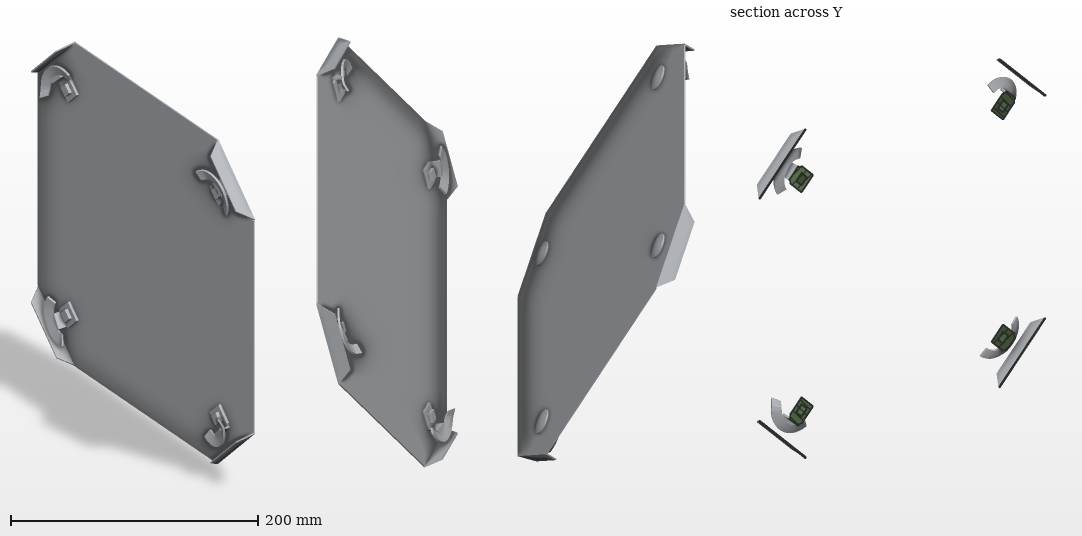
import cadquery as cq
import math

overall_width = 301.33
plate_size = 300.0
panel_thickness = 1.2
flange_length = 72.8
flange_depth = 13.2
flange_taper = math.radians(41)

overall_depth = 21.36
head_height = 3.1
head_rim = 1.5
head_radius = 10.4
neck_side = 8.4
neck_standout = 3.0
bolt_offset = 104.6

clip_thickness = 1.8
base_side = 17.2
base_thickness = 2.4
leg_face = 9.9
leg_width = 13.6
wing_inner_radius = 13.8
wing_outer_radius = 21.9
dish_angle = math.radians(20)
wing_start = -72.5
wing_end = 52.0
bend_end = 61.0
lip_end = 77.0
wing_climb = 2.05
bend_climb = 4.5
lip_climb = 9.5

plate_back = overall_depth / 2 - head_height
plate_front = plate_back - panel_thickness
corner_reach = overall_width / 2 * math.sqrt(2) - flange_length / 2
corner_cut = plate_size - (corner_reach - panel_thickness) * math.sqrt(2)
corner_turns = [90 * i for i in range(4)]

dish_rise = (wing_outer_radius - wing_inner_radius) * math.tan(dish_angle)
tip_height = overall_depth - head_height - panel_thickness
bend_rise = bend_climb * math.radians(bend_end - wing_end)
lip_rise = lip_climb * math.radians(lip_end - bend_end)
bridge_height = tip_height - dish_rise - lip_rise - bend_rise - wing_climb * math.radians(wing_end)


def to_corner(shape, turn):
    """Move a shape from its own axes (x outward, z forward, origin on the panel front) to a corner."""
    origin = (-bolt_offset, plate_front, bolt_offset)
    plane = cq.Plane(origin=origin, xDir=(-1, 0, 1), normal=(0, -1, 0))
    return shape.val().moved(cq.Location(plane)).rotate((0, 0, 0), (0, 1, 0), turn)


def make_neck(height):
    """Square bar along the bolt axis, from the back of the panel up to the given height."""
    bar = cq.Workplane("XY").workplane(offset=-panel_thickness).rect(neck_side, neck_side)
    return bar.extrude(panel_thickness + height)


def make_bolt():
    """Carriage bolt: round rim and dome behind the panel, square neck standing out in front."""
    rim = -panel_thickness - head_rim
    top = -panel_thickness - head_height
    dome_radius = (head_radius**2 + (rim - top) ** 2) / (2 * (rim - top))
    half_angle = math.asin(head_radius / dome_radius) / 2
    midway = (
        dome_radius * math.sin(half_angle),
        top + dome_radius * (1 - math.cos(half_angle)),
    )
    head = (
        cq.Workplane("XZ")
        .moveTo(0, -panel_thickness)
        .lineTo(head_radius, -panel_thickness)
        .lineTo(head_radius, rim)
        .threePointArc(midway, (0, top))
        .close()
        .revolve(360, (0, 0, 0), (0, 1, 0))
    )
    return head.union(make_neck(base_thickness + neck_standout))


def helical_sector(start, end, climb):
    """Part of the dished wing between two angles; its height is zero at the start."""
    turn = math.radians(end - start)
    path = cq.Wire.makeHelix(2 * math.pi * climb, climb * turn, wing_inner_radius)
    drop = clip_thickness * math.cos(dish_angle)
    shift = clip_thickness * math.sin(dish_angle)
    section = cq.Workplane("XZ").polyline([
        (wing_inner_radius, 0),
        (wing_outer_radius, dish_rise),
        (wing_outer_radius + shift, dish_rise - drop),
        (wing_inner_radius + shift, -drop),
    ]).close()
    sector = section.sweep(cq.Workplane(path), isFrenet=True)
    return sector.rotate((0, 0, 0), (0, 0, 1), start)


def make_wing():
    """Gentle helical wing, then a steeper bend and a lip; all three share one section."""
    wing_base = bridge_height + wing_climb * math.radians(wing_start)
    bend_base = bridge_height + wing_climb * math.radians(wing_end)
    lip_base = bend_base + bend_rise
    wing = helical_sector(wing_start, wing_end, wing_climb).translate((0, 0, wing_base))
    bend = helical_sector(wing_end, bend_end, bend_climb).translate((0, 0, bend_base))
    lip = helical_sector(bend_end, lip_end, lip_climb).translate((0, 0, lip_base))
    return wing.union(bend).union(lip)


def make_leg_and_bridge():
    """Upright leg beside the base, folded outward into a bridge that slopes like the wing."""
    half = leg_width / 2
    tilt = half * wing_climb / wing_inner_radius
    bridge_reach = wing_inner_radius + clip_thickness * math.sin(dish_angle)
    leg_plane = cq.Workplane("YZ").workplane(offset=leg_face)
    leg = leg_plane.polyline([
        (-half, 0),
        (half, 0),
        (half, bridge_height + tilt),
        (-half, bridge_height - tilt),
    ]).close().extrude(clip_thickness)
    bridge = leg_plane.polyline([
        (-half, bridge_height - tilt - clip_thickness),
        (half, bridge_height + tilt - clip_thickness),
        (half, bridge_height + tilt),
        (-half, bridge_height - tilt),
    ]).close().extrude(bridge_reach - leg_face)
    rounding = cq.Workplane("XY").circle(bridge_reach).extrude(tip_height)
    return leg.union(bridge.intersect(rounding))


def make_clip():
    """Base, leg, bridge and wing in one piece, with a square hole for the bolt's neck."""
    half = base_side / 2
    leg_half = leg_width / 2
    shoulder = leg_face - (half - leg_half)
    base = cq.Workplane("XY").polyline([
        (-half, -half),
        (shoulder, -half),
        (leg_face, -leg_half),
        (leg_face, leg_half),
        (shoulder, half),
        (-half, half),
    ]).close().extrude(base_thickness)
    clip = base.union(make_leg_and_bridge()).union(make_wing())
    return clip.cut(make_neck(tip_height))


def make_flange():
    """Corner flange in the same axes as a clip: its outer face is square to the outward diagonal."""
    half = flange_length / 2
    inset = flange_depth * math.tan(flange_taper)
    outer_face = corner_reach - bolt_offset * math.sqrt(2)
    return cq.Workplane("YZ").workplane(offset=outer_face - panel_thickness).polyline([
        (-half, -panel_thickness),
        (half, -panel_thickness),
        (half - inset, flange_depth - panel_thickness),
        (-half + inset, flange_depth - panel_thickness),
    ]).close().extrude(panel_thickness)


def make_panel():
    """Plate with cut corners, four flanges and a square hole for each bolt."""
    panel = (
        cq.Workplane("XZ", origin=(0, plate_back, 0))
        .rect(plate_size, plate_size)
        .extrude(panel_thickness)
        .edges("|Y")
        .chamfer(corner_cut)
    )
    for turn in corner_turns:
        panel = panel.union(cq.Workplane(to_corner(make_flange(), turn)))
        panel = panel.cut(cq.Workplane(to_corner(make_neck(tip_height), turn)))
    return panel


panel = make_panel()
bolts = [to_corner(make_bolt(), turn) for turn in corner_turns]
clips = [to_corner(make_clip(), turn) for turn in corner_turns]

result = cq.Compound.makeCompound([panel.val(), *bolts, *clips])